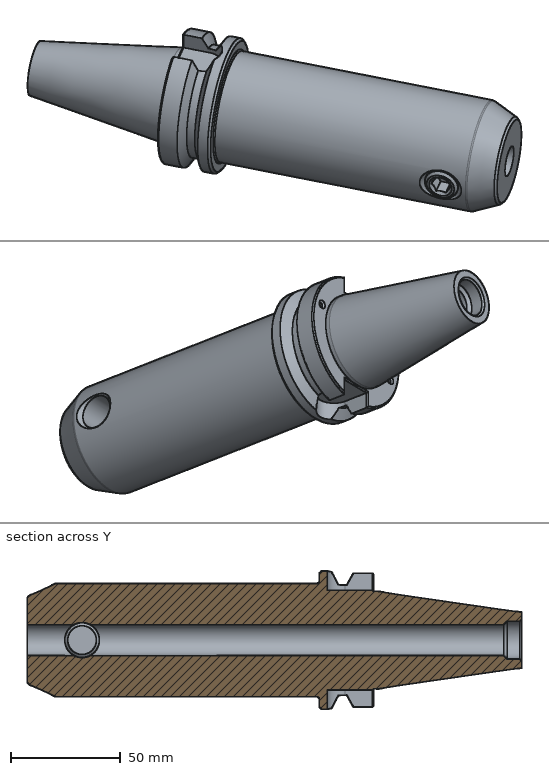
import cadquery as cq
import math

LENGTH = 225.5

TAPER_LENGTH = 65.4
TAPER_RATIO = 7 / 24
TAPER_LARGE_RADIUS = 22.3
TAPER_SMALL_RADIUS = TAPER_LARGE_RADIUS - TAPER_LENGTH * TAPER_RATIO / 2

FLANGE_RADIUS = 31.5
FLANGE_FRONT = 67.5
FLANGE_BACK = 92.5
FLANGE_FRONT_CHAMFER = 0.7
FLANGE_BACK_CHAMFER = 1.1
GROOVE_FLOOR_RADIUS = 26.4
GROOVE_FLOOR_START = 79.8
GROOVE_FLOOR_END = 83.6
GROOVE_FLANK_ANGLE = 60

BODY_RADIUS = 26.0
BODY_ROOT_BEVEL = 0.7
NOSE_START = 212.0
NOSE_BREAK_LENGTH = 0.7
NOSE_RADIUS = 20.5
NOSE_CHAMFER = 1.1

BORE_RADIUS = 7.0
COUNTERBORE_RADIUS = 8.5
COUNTERBORE_DEPTH = 6.8
BORE_MOUTH_RADIUS = 9.5

SLOT_WIDTH = 16.0
SLOT_FLOOR_HEIGHT = 22.8
SLOT_END = 88.5
SLOT_CHAMFER = 0.7
SLOT_CHAMFER_ANGLE = 45

FACE_HOLE_RADIUS = 1.1
FACE_HOLE_MOUTH_RADIUS = 2.0
FACE_HOLE_DEPTH = 6.8
FACE_HOLE_CIRCLE_RADIUS = 26.4
FACE_HOLE_ANGLE = 20

CROSS_HOLE_X = 200.4
CROSS_HOLE_RADIUS = 8.0
COUNTERSINK_RADIUS = 10.0

SCREW_LENGTH = 16.0
SCREW_CHAMFER = 1.4
HEX_ACROSS_FLATS = 8.0
HEX_DEPTH = 8.0
HEX_MOUTH_RADIUS = 5.5


def turned_blank():
    """Taper, flange, body and nose as one solid of revolution."""
    groove_flank = (FLANGE_RADIUS - GROOVE_FLOOR_RADIUS) / math.tan(math.radians(GROOVE_FLANK_ANGLE))
    nose_end = LENGTH - NOSE_CHAMFER
    nose_slope = (BODY_RADIUS - NOSE_RADIUS) / (nose_end - NOSE_START)
    nose_break_drop = NOSE_BREAK_LENGTH * nose_slope / 2
    profile = [
        (0, 0),
        (0, TAPER_SMALL_RADIUS),
        (TAPER_LENGTH, TAPER_LARGE_RADIUS),
        (FLANGE_FRONT, TAPER_LARGE_RADIUS),
        (FLANGE_FRONT, FLANGE_RADIUS - FLANGE_FRONT_CHAMFER),
        (FLANGE_FRONT + FLANGE_FRONT_CHAMFER, FLANGE_RADIUS),
        (GROOVE_FLOOR_START - groove_flank, FLANGE_RADIUS),
        (GROOVE_FLOOR_START, GROOVE_FLOOR_RADIUS),
        (GROOVE_FLOOR_END, GROOVE_FLOOR_RADIUS),
        (GROOVE_FLOOR_END + groove_flank, FLANGE_RADIUS),
        (FLANGE_BACK - FLANGE_BACK_CHAMFER, FLANGE_RADIUS),
        (FLANGE_BACK, FLANGE_RADIUS - FLANGE_BACK_CHAMFER),
        (FLANGE_BACK, BODY_RADIUS + BODY_ROOT_BEVEL),
        (FLANGE_BACK + BODY_ROOT_BEVEL, BODY_RADIUS),
        (NOSE_START, BODY_RADIUS),
        (NOSE_START + NOSE_BREAK_LENGTH, BODY_RADIUS - nose_break_drop),
        (nose_end, NOSE_RADIUS),
        (LENGTH, NOSE_RADIUS - NOSE_CHAMFER),
        (LENGTH, 0),
    ]
    return cq.Workplane("XY").polyline(profile).close().revolve(360, (0, 0, 0), (1, 0, 0))


def axial_bore():
    """Through bore with a wider, countersunk stretch at the small end of the taper."""
    mouth_depth = BORE_MOUTH_RADIUS - COUNTERBORE_RADIUS
    step_end = COUNTERBORE_DEPTH + COUNTERBORE_RADIUS - BORE_RADIUS
    profile = [
        (0, 0),
        (0, BORE_MOUTH_RADIUS),
        (mouth_depth, COUNTERBORE_RADIUS),
        (COUNTERBORE_DEPTH, COUNTERBORE_RADIUS),
        (step_end, BORE_RADIUS),
        (LENGTH, BORE_RADIUS),
        (LENGTH, 0),
    ]
    return cq.Workplane("XY").polyline(profile).close().revolve(360, (0, 0, 0), (1, 0, 0))


def drive_slot():
    """Round-ended slot above the axis, with its front edges chamfered."""
    arc_center = SLOT_END - SLOT_WIDTH / 2
    slot_height = FLANGE_RADIUS - SLOT_FLOOR_HEIGHT
    slot = (
        cq.Workplane("XY", origin=(FLANGE_FRONT, 0, SLOT_FLOOR_HEIGHT))
        .rect(2 * (arc_center - FLANGE_FRONT), SLOT_WIDTH)
        .extrude(slot_height)
    )
    round_end = (
        cq.Workplane("XY", origin=(arc_center, 0, SLOT_FLOOR_HEIGHT))
        .circle(SLOT_WIDTH / 2)
        .extrude(slot_height)
    )
    mouth_height = 2 * (slot_height + SLOT_CHAMFER)
    mouth = (
        cq.Workplane("YZ", origin=(FLANGE_FRONT, 0, FLANGE_RADIUS))
        .rect(SLOT_WIDTH + 2 * SLOT_CHAMFER, mouth_height)
        .extrude(SLOT_CHAMFER, taper=SLOT_CHAMFER_ANGLE)
    )
    return slot.union(round_end).union(mouth)


def face_hole():
    """Blind countersunk hole in the front face of the flange, on the +Y side of the axis."""
    cone_depth = FACE_HOLE_MOUTH_RADIUS - FACE_HOLE_RADIUS
    profile = [
        (0, 0),
        (0, FACE_HOLE_MOUTH_RADIUS),
        (cone_depth, FACE_HOLE_RADIUS),
        (FACE_HOLE_DEPTH, FACE_HOLE_RADIUS),
        (FACE_HOLE_DEPTH, 0),
    ]
    hole = cq.Workplane("XY").polyline(profile).close().revolve(360, (0, 0, 0), (1, 0, 0))
    return hole.translate((FLANGE_FRONT, FACE_HOLE_CIRCLE_RADIUS, 0)).rotate(
        (0, 0, 0), (1, 0, 0), FACE_HOLE_ANGLE
    )


def cross_hole():
    """Hole along Y through the whole body, countersunk at both ends."""
    cone_depth = COUNTERSINK_RADIUS - CROSS_HOLE_RADIUS
    profile = [
        (0, -BODY_RADIUS),
        (COUNTERSINK_RADIUS, -BODY_RADIUS),
        (CROSS_HOLE_RADIUS, -BODY_RADIUS + cone_depth),
        (CROSS_HOLE_RADIUS, BODY_RADIUS - cone_depth),
        (COUNTERSINK_RADIUS, BODY_RADIUS),
        (0, BODY_RADIUS),
    ]
    return (
        cq.Workplane("XY", origin=(CROSS_HOLE_X, 0, 0))
        .polyline(profile)
        .close()
        .revolve(360, (0, 0, 0), (0, 1, 0))
    )


def make_holder():
    holder = turned_blank().cut(axial_bore()).cut(cross_hole())
    for turn in (0, 180):
        holder = holder.cut(drive_slot().rotate((0, 0, 0), (1, 0, 0), turn))
        holder = holder.cut(face_hole().rotate((0, 0, 0), (1, 0, 0), turn))
    return holder


def make_screw():
    """Headless screw in the -Y end of the cross hole, with a hexagon socket in its outer end."""
    blank = (
        cq.Workplane("XZ", origin=(CROSS_HOLE_X, -BODY_RADIUS, 0))
        .circle(CROSS_HOLE_RADIUS)
        .extrude(-SCREW_LENGTH)
        .faces("<Y or >Y")
        .chamfer(SCREW_CHAMFER)
    )
    hex_corner_radius = HEX_ACROSS_FLATS / math.sqrt(3)
    socket = (
        cq.Workplane("XZ", origin=(CROSS_HOLE_X, -BODY_RADIUS, 0))
        .polygon(6, 2 * hex_corner_radius)
        .extrude(-HEX_DEPTH)
    )
    mouth = cq.Workplane(
        cq.Solid.makeCone(
            HEX_MOUTH_RADIUS,
            0,
            HEX_MOUTH_RADIUS,
            pnt=cq.Vector(CROSS_HOLE_X, -BODY_RADIUS, 0),
            dir=cq.Vector(0, 1, 0),
        )
    )
    return blank.cut(socket).cut(mouth)


holder = make_holder()
screw = make_screw()

result = cq.Compound.makeCompound([holder.val(), screw.val()])